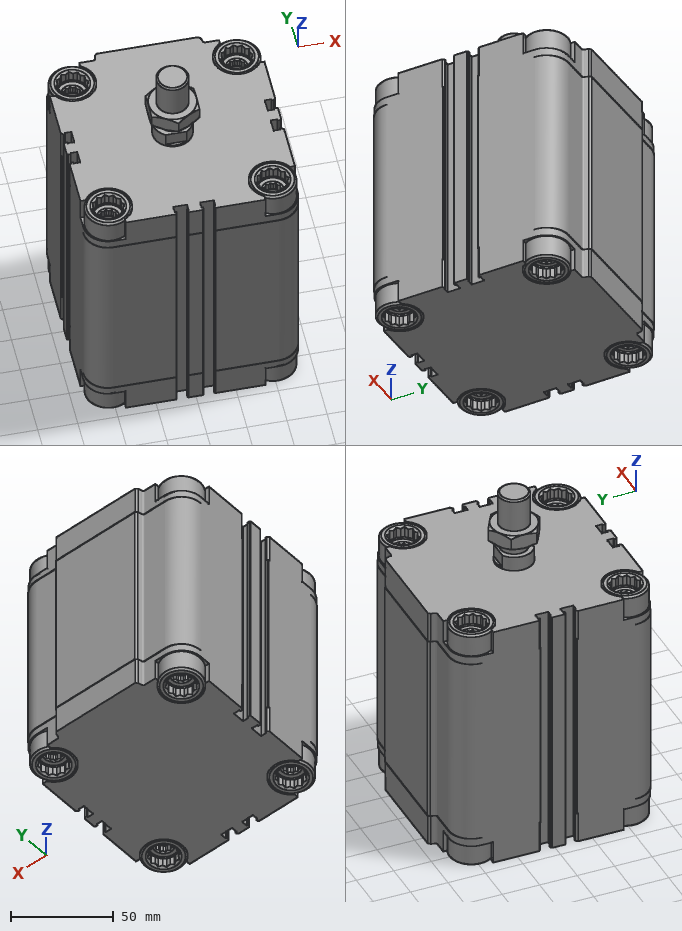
import cadquery as cq
import math

housing_width = 107.0
housing_height = 136.0
cap_height = 16.5
cap_inset = 0.26
screw_pitch = 82.0
half_width = housing_width / 2
cap_half_depth = half_width - cap_inset
corner_radius = 12.1

band_height = 4.0
band_side_half_width = 27.0
band_shoulder_half_width = 26.4
band_top_half_width = 25.3
band_bevel = 1.0
band_foot_radius = 1.0

slot_offset = 6.7
slot_depth = 5.3
slot_width = 6.9
slot_mouth_width = 5.3
slot_lip = 2.0
slot_bevel = 0.5
wide_bevel = 1.0

head_diameter = 23.4
head_bevel = 1.0
head_height = 12.1
relief_edge = 34.8
socket_points = 16.0
socket_notches = 14.5
socket_mouth = 17.6
socket_mouth_depth = 1.0
socket_depth = 6.3
groove_diameter = 15.5
groove_height = 1.2
bore_socket_points = 9.7
bore_socket_notches = 8.6
bore_socket_mouth = 11.0
bore_socket_mouth_depth = 0.9
bore_socket_depth = 4.4
screw_bore_diameter = 8.5

total_height = 176.0
rod_diameter = 20.0
rod_length = 8.0
rod_flats = 17.0
flats_rise = 1.0
neck_diameter = 14.5
thread_diameter = 16.0
thread_start = 10.7
thread_bevel = 0.9
nut_across_flats = 24.0
nut_height = 8.1
nut_rise = 13.9
nut_face_diameter = 23.8
nut_bevel_angle = 30.0


def housing_block(base, height, half_depth):
    """Rounded block with the raised band on its +Y side."""
    block = (
        cq.Workplane("XY", origin=(0, 0, base))
        .rect(housing_width, 2 * half_depth)
        .extrude(height)
        .edges("|Z")
        .fillet(corner_radius)
    )
    top = half_depth + band_height
    foot_half_width = band_side_half_width + band_foot_radius
    foot_top = half_depth + band_foot_radius
    arc_step = band_foot_radius * (1 - math.sqrt(0.5))
    arc_half_width = band_side_half_width + arc_step
    arc_depth = half_depth + arc_step
    band = (
        cq.Workplane("XY", origin=(0, 0, base))
        .moveTo(-foot_half_width, 0)
        .lineTo(-foot_half_width, half_depth)
        .threePointArc((-arc_half_width, arc_depth), (-band_side_half_width, foot_top))
        .lineTo(-band_shoulder_half_width, top - band_bevel)
        .lineTo(-band_top_half_width, top)
        .lineTo(band_top_half_width, top)
        .lineTo(band_shoulder_half_width, top - band_bevel)
        .lineTo(band_side_half_width, foot_top)
        .threePointArc((arc_half_width, arc_depth), (foot_half_width, half_depth))
        .lineTo(foot_half_width, 0)
        .close()
        .extrude(height)
    )
    return block.union(band)


def slot_pair(shape, turn):
    """The shape and its mirror image in X, turned from the -Y side about the Z axis."""
    return [half.rotate((0, 0, 0), (0, 0, 1), turn) for half in (shape, shape.mirror("YZ"))]


def t_slot():
    """T-slot over the full height of the -Y side, on its +X half."""
    lip_floor = slot_lip - half_width
    slot_floor = slot_depth - half_width
    wide_part = (
        cq.Workplane("XY")
        .center(slot_offset, (lip_floor + slot_floor) / 2)
        .rect(slot_width, slot_depth - slot_lip)
        .extrude(housing_height)
    )
    mouth = (
        cq.Workplane("XY")
        .center(slot_offset, (slot_floor - half_width) / 2)
        .rect(slot_mouth_width, slot_depth)
        .extrude(housing_height)
    )
    return wide_part.union(mouth)


def mouth_bevel(base, height, face_distance, outer_bevel):
    """Bevels along both mouth edges of the T-slot for one length of the housing."""
    inner = slot_offset - slot_mouth_width / 2
    outer = slot_offset + slot_mouth_width / 2
    return (
        cq.Workplane("XY", origin=(0, 0, base))
        .polyline([
            (inner - slot_bevel, -face_distance),
            (inner, slot_bevel - face_distance),
            (outer, outer_bevel - face_distance),
            (outer + outer_bevel, -face_distance),
        ])
        .close()
        .extrude(height)
    )


def corner_relief():
    """Space around one screw head, at the bottom of the +X +Y corner."""
    center = screw_pitch / 2
    corner = (
        cq.Workplane("XY")
        .moveTo(relief_edge, relief_edge)
        .rect(half_width - relief_edge, half_width - relief_edge, centered=False)
        .extrude(head_height)
    )
    head = cq.Workplane("XY").center(center, center).circle(head_diameter / 2).extrude(head_height)
    return corner.cut(head)


def twelve_point_socket(base, points, notches, mouth, mouth_depth, depth):
    """Twelve-point socket going up from the base, with a conical mouth."""
    hexagon = cq.Workplane("XY", origin=(0, 0, base)).polygon(6, points).extrude(depth)
    star = hexagon.union(hexagon.rotate((0, 0, 0), (0, 0, 1), 30))
    cone = cq.Solid.makeCone(mouth / 2, notches / 2, mouth_depth, pnt=cq.Vector(0, 0, base))
    return star.union(cq.Workplane(cone))


def screw_head_cut():
    """Bevel, sockets and groove of the screw head at the bottom of the +X +Y corner."""
    head_radius = head_diameter / 2
    bevel_ring = (
        cq.Workplane("XZ")
        .polyline([(head_radius - head_bevel, 0), (head_radius, 0), (head_radius, head_bevel)])
        .close()
        .revolve(360, (0, 0), (0, 1))
    )
    socket = twelve_point_socket(
        0, socket_points, socket_notches, socket_mouth, socket_mouth_depth, socket_depth)
    groove = (
        cq.Workplane("XY", origin=(0, 0, socket_depth))
        .circle(groove_diameter / 2)
        .extrude(groove_height)
    )
    bore_socket = twelve_point_socket(
        socket_depth + groove_height, bore_socket_points, bore_socket_notches,
        bore_socket_mouth, bore_socket_mouth_depth, bore_socket_depth)
    cut = socket.union(groove).union(bore_socket).union(bevel_ring)
    return cut.translate((screw_pitch / 2, screw_pitch / 2, 0))


def build_housing():
    tube_height = housing_height - 2 * cap_height
    top_cap_base = housing_height - cap_height
    body = housing_block(cap_height, tube_height, half_width)
    for cap_base in (0, top_cap_base):
        body = body.union(housing_block(cap_base, cap_height, cap_half_depth), clean=False)

    tube_bevel = mouth_bevel(cap_height, tube_height, half_width, slot_bevel)
    for turn, cap_face, cap_bevel in (
        (-90, half_width, wide_bevel),
        (0, cap_half_depth, slot_bevel),
        (90, half_width, wide_bevel),
    ):
        slot_cuts = [t_slot(), tube_bevel]
        for cap_base in (0, top_cap_base):
            slot_cuts.append(mouth_bevel(cap_base, cap_height, cap_face, cap_bevel))
        for slot_cut in slot_cuts:
            for turned in slot_pair(slot_cut, turn):
                body = body.cut(turned, clean=False)

    bores = (
        cq.Workplane("XY")
        .rect(screw_pitch, screw_pitch, forConstruction=True)
        .vertices()
        .circle(screw_bore_diameter / 2)
        .extrude(housing_height)
    )
    body = body.cut(bores, clean=False)
    for bottom_cut in (corner_relief(), screw_head_cut()):
        top_cut = bottom_cut.mirror("XY", (0, 0, housing_height / 2))
        for end_cut in (bottom_cut, top_cut):
            for corner in range(4):
                turned = end_cut.rotate((0, 0, 0), (0, 0, 1), 90 * corner)
                body = body.cut(turned, clean=False)
    return body


def build_rod():
    """Flatted rod end, neck and stud, standing on the top of the housing."""
    neck_radius = neck_diameter / 2
    thread_radius = thread_diameter / 2
    stud_top = total_height - housing_height
    rod = (
        cq.Workplane("XZ")
        .polyline([
            (0, 0),
            (rod_diameter / 2, 0),
            (rod_diameter / 2, rod_length),
            (neck_radius, rod_length),
            (neck_radius, thread_start),
            (thread_radius, thread_start + thread_bevel),
            (thread_radius, stud_top - thread_bevel),
            (thread_radius - thread_bevel, stud_top),
            (0, stud_top),
        ])
        .close()
        .revolve(360, (0, 0), (0, 1))
    )
    flats_height = rod_length - flats_rise
    flat_zone = (
        cq.Workplane("XY", origin=(0, 0, flats_rise))
        .rect(rod_diameter, rod_diameter)
        .rect(rod_diameter, rod_flats)
        .extrude(flats_height)
    )
    return rod.cut(flat_zone).translate((0, 0, housing_height))


def build_nut():
    """Hexagon nut with corners on the Y axis, bevelled on both faces."""
    across_corners = nut_across_flats / math.cos(math.radians(30))
    nut_corner_radius = across_corners / 2
    face_radius = nut_face_diameter / 2
    bevel = (nut_corner_radius - face_radius) * math.tan(math.radians(nut_bevel_angle))
    hexagon = cq.Workplane("XY").polygon(6, across_corners).extrude(nut_height)
    hexagon = hexagon.rotate((0, 0, 0), (0, 0, 1), 30)
    envelope = (
        cq.Workplane("XZ")
        .polyline([
            (0, 0),
            (face_radius, 0),
            (nut_corner_radius, bevel),
            (nut_corner_radius, nut_height - bevel),
            (face_radius, nut_height),
            (0, nut_height),
        ])
        .close()
        .revolve(360, (0, 0), (0, 1))
    )
    bore = cq.Workplane("XY").circle(thread_diameter / 2).extrude(nut_height)
    return hexagon.intersect(envelope).cut(bore).translate((0, 0, housing_height + nut_rise))


housing = build_housing()
rod = build_rod()
nut = build_nut()

result = cq.Compound.makeCompound([housing.val(), rod.val(), nut.val()])